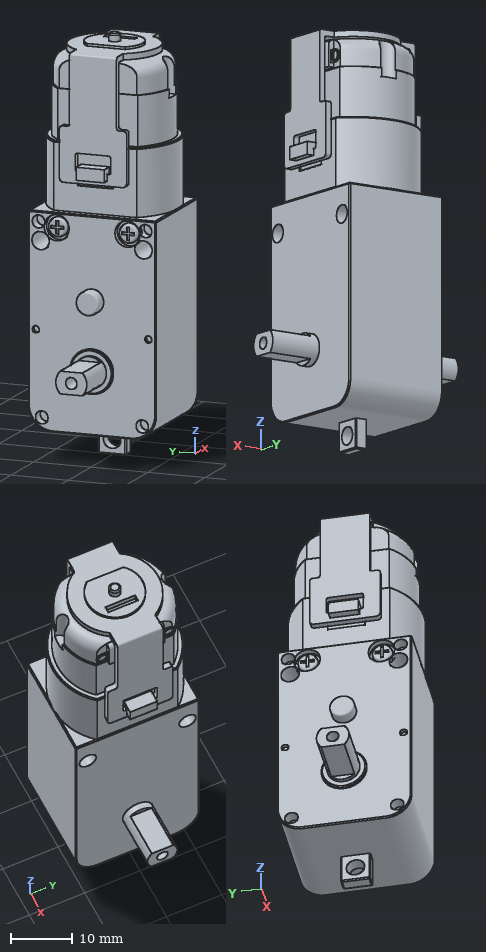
import cadquery as cq


BOX_LEFT = -10.0
BOX_RIGHT = 8.6
BOX_WIDTH = BOX_RIGHT - BOX_LEFT
BOX_DEPTH = 22.4
BOX_HEIGHT = 36.8
BOX_CORNER_RADIUS = 4.2
EDGE_BREAK = 0.2

SLEEVE_DIAMETER = BOX_DEPTH
SLEEVE_WIDTH = 17.0
SLEEVE_TOP = 48.4

TAB_THICKNESS = 2.25
TAB_WIDTH = 4.9
TAB_LENGTH = 5.1
TAB_HOLE_DIAMETER = 3.0

MOUNT_HOLE_DIAMETER = 3.0
MOUNT_HOLE_Y = 9.0
MOUNT_HOLE_Z = 31.9

PIN_HOLE_DIAMETER = 2.2
PIN_HOLE_DEPTH = 2.1
UPPER_PIN_HOLE_Y = 9.35
UPPER_PIN_HOLE_Z = 35.0
LOWER_PIN_HOLE_Y = 8.8
LOWER_PIN_HOLE_Z = 2.3

DIMPLE_DIAMETER = 1.2
DIMPLE_DEPTH = 0.7
DIMPLE_Y = 9.85
DIMPLE_Z = 16.95

STUD_DIAMETER = 4.1
STUD_LENGTH = 2.1
STUD_FILLET = 0.4
STUD_Z = 22.5

COLLAR_DIAMETER = 7.5
COLLAR_LENGTH = 0.5
COLLAR_CHAMFER = 0.2

HOOK_WIDTH = 4.9
HOOK_BOTTOM = 42.7
HOOK_TOP = 44.9
HOOK_OVERHANG = 1.3
POCKET_WIDTH = 6.2
POCKET_BOTTOM = 41.2
POCKET_DEPTH = 0.35

SCREW_Y = 6.2
SCREW_Z = 34.25
SCREW_HEAD_DIAMETER = 3.3
SCREW_HEAD_HEIGHT = 0.85
SCREW_HEAD_FILLET = 0.5
SCREW_RECESS_DIAMETER = 4.35
SCREW_RECESS_DEPTH = 1.05
CROSS_LENGTH = 2.2
CROSS_WIDTH = 0.4
CROSS_DEPTH = 0.2

SHAFT_DIAMETER = 5.4
SHAFT_LENGTH = 37.1
SHAFT_MID_X = -0.6
SHAFT_Z = 10.75
SHAFT_SHOULDER_LENGTH = 20.95
SHAFT_FLAT_SPAN = 3.8
SHAFT_BORE_DIAMETER = 2.0
SHAFT_BORE_DEPTH = 5.6

CAN_DIAMETER = 20.55
CAN_WIDTH = 15.05
CAN_TOP = 57.0
CAP_DIAMETER = 20.0
CAP_WIDTH = 14.6
CAP_TOP = 62.05
CAP_FILLET = 2.1
NOTCH_DIAMETER = 2.95
NOTCH_Y = 10.0
NOTCH_BOTTOM = 55.5

PLUG_DIAMETER = 10.0
PLUG_TOP = 63.95
PLUG_FLAT_X = -3.7
PLUG_SLOT_X = 2.6
PLUG_SLOT_WIDTH = 1.1
PLUG_SLOT_LENGTH = 5.35
PLUG_SLOT_DEPTH = 1.05

PAD_WIDTH = 10.0
PAD_THICKNESS = 1.05
PAD_BOTTOM = 57.2
PAD_TOP = 61.85
PAD_FILLET = 1.0

TERMINAL_THICKNESS = 0.2
TERMINAL_HEIGHT = 2.1
TERMINAL_X = 7.8
TERMINAL_Z = 58.95
TERMINAL_HOLE_Y = 6.0
TERMINAL_HOLE_DIAMETER = 1.7

MOTOR_SHAFT_DIAMETER = 2.0
MOTOR_SHAFT_TOP = 65.3
MOTOR_SHAFT_CHAMFER = 0.3

SHEET = 1.05
BRACKET_TOP = 63.5
BRACKET_BOTTOM = 41.85
BRACKET_BEND_RADIUS = 0.4
BRACKET_NARROW = 8.2
BRACKET_WIDE = 11.75
BRACKET_STEP_Z = 51.3
BRACKET_STEP_RADIUS = 0.5
SELECT_MARGIN = 0.1
BRACKET_FOOT_RADIUS = 0.7
BRACKET_DISC_DIAMETER = 15.6
WINDOW_WIDTH = POCKET_WIDTH
WINDOW_BOTTOM = 43.8
WINDOW_TOP = 46.9
WINDOW_RADIUS = 0.4


def centered_box(x_size, y_size, z_bottom, z_top):
    """Box centred on the Z axis between two heights."""
    box = cq.Workplane("XY").box(x_size, y_size, z_top - z_bottom, centered=(True, True, False))
    return box.translate((0, 0, z_bottom))


def z_cylinder(diameter, z_bottom, z_top):
    """Cylinder on the Z axis between two heights."""
    return cq.Workplane("XY", origin=(0, 0, z_bottom)).circle(diameter / 2).extrude(z_top - z_bottom)


def flatted_cylinder(diameter, width, z_bottom, z_top):
    """Z cylinder with two flats that face +X and -X."""
    envelope = centered_box(width, diameter, z_bottom, z_top)
    return z_cylinder(diameter, z_bottom, z_top).intersect(envelope)


def x_cylinders(diameter, x_start, length, centers):
    """Cylinders along +X from x_start, one at each (y, z) centre."""
    plane = cq.Workplane("YZ", origin=(x_start, 0, 0))
    return plane.pushPoints(centers).circle(diameter / 2).extrude(length)


def mirrored(y, z):
    """A pair of (y, z) points on both sides of the XZ plane."""
    return [(y, z), (-y, z)]


def gearbox_block():
    """Rectangular block with rounded lower corners and slightly broken edges."""
    block = cq.Workplane("XY").box(BOX_WIDTH, BOX_DEPTH, BOX_HEIGHT, centered=(False, True, False))
    block = block.translate((BOX_LEFT, 0, 0))
    block = block.edges("|X and <Z").fillet(BOX_CORNER_RADIUS)
    return block.faces("<X or >X or >Z").edges().chamfer(EDGE_BREAK)


def motor_sleeve():
    """Round sleeve with two flats, clip hooks and a shallow pocket under each hook."""
    sleeve = flatted_cylinder(SLEEVE_DIAMETER, SLEEVE_WIDTH, BOX_HEIGHT, SLEEVE_TOP)
    sleeve = sleeve.faces(">Z").edges().chamfer(EDGE_BREAK)

    pocket_span = SLEEVE_WIDTH - 2 * POCKET_DEPTH
    pockets = centered_box(SLEEVE_WIDTH, POCKET_WIDTH, POCKET_BOTTOM, HOOK_BOTTOM)
    pockets = pockets.cut(centered_box(pocket_span, POCKET_WIDTH, POCKET_BOTTOM, HOOK_BOTTOM))
    sleeve = sleeve.cut(pockets)

    bracket_width = SLEEVE_WIDTH + 2 * SHEET
    hooks = centered_box(bracket_width + 2 * HOOK_OVERHANG, HOOK_WIDTH, HOOK_BOTTOM, HOOK_TOP)
    hooks = hooks.cut(centered_box(bracket_width, HOOK_WIDTH, HOOK_BOTTOM, WINDOW_BOTTOM))
    hooks = hooks.cut(centered_box(SLEEVE_WIDTH, HOOK_WIDTH, HOOK_BOTTOM, HOOK_TOP))
    return sleeve.union(hooks)


def mounting_tab():
    """Flat tab with a cross hole under the gearbox."""
    tab = centered_box(TAB_THICKNESS, TAB_WIDTH, -TAB_LENGTH, 0)
    tab = tab.edges("|Z or <Z").chamfer(EDGE_BREAK)
    hole = x_cylinders(TAB_HOLE_DIAMETER, -TAB_THICKNESS, 2 * TAB_THICKNESS, [(0, -TAB_LENGTH / 2)])
    return tab.cut(hole)


def make_gearbox():
    gearbox = gearbox_block().union(motor_sleeve()).union(mounting_tab())

    stud = x_cylinders(STUD_DIAMETER, BOX_LEFT - STUD_LENGTH, STUD_LENGTH, [(0, STUD_Z)])
    stud = stud.faces("<X").edges().fillet(STUD_FILLET)
    collar = x_cylinders(COLLAR_DIAMETER, BOX_LEFT - COLLAR_LENGTH, COLLAR_LENGTH, [(0, SHAFT_Z)])
    collar = collar.faces("<X").edges().chamfer(COLLAR_CHAMFER)
    gearbox = gearbox.union(stud).union(collar)

    mount_holes = x_cylinders(MOUNT_HOLE_DIAMETER, BOX_LEFT, BOX_WIDTH, mirrored(MOUNT_HOLE_Y, MOUNT_HOLE_Z))
    pin_centers = mirrored(UPPER_PIN_HOLE_Y, UPPER_PIN_HOLE_Z) + mirrored(LOWER_PIN_HOLE_Y, LOWER_PIN_HOLE_Z)
    pin_holes = x_cylinders(PIN_HOLE_DIAMETER, BOX_LEFT, PIN_HOLE_DEPTH, pin_centers)
    dimples = x_cylinders(DIMPLE_DIAMETER, BOX_LEFT, DIMPLE_DEPTH, mirrored(DIMPLE_Y, DIMPLE_Z))
    recesses = x_cylinders(SCREW_RECESS_DIAMETER, BOX_LEFT, SCREW_RECESS_DEPTH, mirrored(SCREW_Y, SCREW_Z))
    bore_length = COLLAR_LENGTH + BOX_WIDTH
    shaft_bore = x_cylinders(SHAFT_DIAMETER, BOX_LEFT - COLLAR_LENGTH, bore_length, [(0, SHAFT_Z)])
    for cutter in (mount_holes, pin_holes, dimples, recesses, shaft_bore):
        gearbox = gearbox.cut(cutter)
    return gearbox


def make_screw(y):
    """Domed cross-recess screw head seated on the floor of its recess."""
    floor_x = BOX_LEFT + SCREW_RECESS_DEPTH
    top_x = floor_x - SCREW_HEAD_HEIGHT
    screw = x_cylinders(SCREW_HEAD_DIAMETER, top_x, SCREW_HEAD_HEIGHT, [(y, SCREW_Z)])
    screw = screw.faces("<X").edges().fillet(SCREW_HEAD_FILLET)
    cross_plane = cq.Workplane("YZ", origin=(top_x, y, SCREW_Z))
    for y_size, z_size in ((CROSS_LENGTH, CROSS_WIDTH), (CROSS_WIDTH, CROSS_LENGTH)):
        screw = screw.cut(cross_plane.rect(y_size, z_size).extrude(CROSS_DEPTH))
    return screw


def make_output_shaft():
    """Through shaft, round in the middle, with two flats and a blind bore at each end."""
    left_x = SHAFT_MID_X - SHAFT_LENGTH / 2
    right_x = SHAFT_MID_X + SHAFT_LENGTH / 2
    center = [(0, SHAFT_Z)]
    shaft = x_cylinders(SHAFT_DIAMETER, left_x, SHAFT_LENGTH, center)

    flat_end = cq.Workplane("XY").box(SHAFT_LENGTH, SHAFT_DIAMETER, SHAFT_FLAT_SPAN)
    shoulder = cq.Workplane("XY").box(SHAFT_SHOULDER_LENGTH, SHAFT_DIAMETER, SHAFT_DIAMETER)
    envelope = flat_end.union(shoulder).translate((SHAFT_MID_X, 0, SHAFT_Z))
    shaft = shaft.intersect(envelope)

    for bore_x in (left_x, right_x - SHAFT_BORE_DEPTH):
        shaft = shaft.cut(x_cylinders(SHAFT_BORE_DIAMETER, bore_x, SHAFT_BORE_DEPTH, center))
    return shaft


def plug_outline(z_bottom):
    """Round plug with one flat, from z_bottom to the plug top."""
    round_plug = z_cylinder(PLUG_DIAMETER, z_bottom, PLUG_TOP)
    envelope = centered_box(PLUG_DIAMETER, PLUG_DIAMETER, z_bottom, PLUG_TOP)
    return round_plug.intersect(envelope.translate((PLUG_DIAMETER / 2 + PLUG_FLAT_X, 0, 0)))


def end_notches():
    """Two upright round grooves that run from the can up through the cap."""
    plane = cq.Workplane("XY", origin=(0, 0, NOTCH_BOTTOM))
    circles = plane.pushPoints([(0, NOTCH_Y), (0, -NOTCH_Y)]).circle(NOTCH_DIAMETER / 2)
    return circles.extrude(CAP_TOP - NOTCH_BOTTOM)


def make_motor():
    """Motor case: wide can, narrower domed end, end grooves and terminal pad."""
    can = flatted_cylinder(CAN_DIAMETER, CAN_WIDTH, SLEEVE_TOP, CAN_TOP)
    cap = z_cylinder(CAP_DIAMETER, CAN_TOP, CAP_TOP).faces(">Z").edges().fillet(CAP_FILLET)
    cap = cap.intersect(centered_box(CAP_WIDTH, CAP_DIAMETER, CAN_TOP, CAP_TOP))
    motor = can.union(cap).cut(end_notches())

    pad = centered_box(PAD_THICKNESS, PAD_WIDTH, PAD_BOTTOM, PAD_TOP)
    pad = pad.edges(">X and >Z").fillet(PAD_FILLET)
    pad = pad.translate(((CAP_WIDTH + PAD_THICKNESS) / 2, 0, 0))
    return motor.union(pad).cut(z_cylinder(MOTOR_SHAFT_DIAMETER, CAN_TOP, CAP_TOP))


def make_end_plug():
    """Slotted plug on the end of the motor case, with the motor shaft through it."""
    plug = plug_outline(CAP_TOP)
    slot = centered_box(PLUG_SLOT_WIDTH, PLUG_SLOT_LENGTH, PLUG_TOP - PLUG_SLOT_DEPTH, PLUG_TOP)
    plug = plug.cut(slot.translate((PLUG_SLOT_X, 0, 0)))
    return plug.cut(z_cylinder(MOTOR_SHAFT_DIAMETER, CAP_TOP, PLUG_TOP))


def make_motor_shaft():
    shaft = z_cylinder(MOTOR_SHAFT_DIAMETER, CAN_TOP, MOTOR_SHAFT_TOP)
    return shaft.faces(">Z").edges().chamfer(MOTOR_SHAFT_CHAMFER)


def make_terminal(side):
    """Round-ended lug with a hole, standing out of one end of the pad (side is +1 or -1)."""
    root_y = PAD_WIDTH / 2
    start_x = TERMINAL_X - TERMINAL_THICKNESS / 2
    half = TERMINAL_HEIGHT / 2
    lug = (
        cq.Workplane("YZ", origin=(start_x, 0, TERMINAL_Z))
        .moveTo(side * root_y, -half)
        .lineTo(side * TERMINAL_HOLE_Y, -half)
        .threePointArc((side * (TERMINAL_HOLE_Y + half), 0), (side * TERMINAL_HOLE_Y, half))
        .lineTo(side * root_y, half)
        .close()
        .extrude(TERMINAL_THICKNESS)
    )
    hole_center = [(side * TERMINAL_HOLE_Y, TERMINAL_Z)]
    return lug.cut(x_cylinders(TERMINAL_HOLE_DIAMETER, start_x, TERMINAL_THICKNESS, hole_center))


def bracket_legs():
    """U-shaped strap whose legs widen below a step."""
    inner_width = SLEEVE_WIDTH
    outer_width = SLEEVE_WIDTH + 2 * SHEET
    strap = centered_box(outer_width, BRACKET_WIDE, BRACKET_BOTTOM, BRACKET_TOP)
    strap = strap.edges("|Y and >Z").fillet(BRACKET_BEND_RADIUS)
    opening = centered_box(inner_width, BRACKET_WIDE, BRACKET_BOTTOM, BRACKET_TOP - SHEET)
    strap = strap.cut(opening.edges("|Y and >Z").fillet(BRACKET_BEND_RADIUS))

    wide = centered_box(outer_width, BRACKET_WIDE, BRACKET_BOTTOM, BRACKET_STEP_Z)
    wide = wide.edges("|X and >Z").fillet(BRACKET_STEP_RADIUS)
    wide = wide.edges("|X and <Z").fillet(BRACKET_FOOT_RADIUS)
    narrow = centered_box(outer_width, BRACKET_NARROW, BRACKET_STEP_Z, BRACKET_TOP)
    side_profile = wide.union(narrow)
    concave_corners = cq.selectors.BoxSelector(
        (-outer_width, -BRACKET_NARROW / 2 - SELECT_MARGIN, BRACKET_STEP_Z - SELECT_MARGIN),
        (outer_width, BRACKET_NARROW / 2 + SELECT_MARGIN, BRACKET_STEP_Z + SELECT_MARGIN),
    )
    side_profile = side_profile.edges("|X").edges(concave_corners).fillet(BRACKET_STEP_RADIUS)
    return strap.intersect(side_profile)


def make_bracket():
    bracket = bracket_legs().union(z_cylinder(BRACKET_DISC_DIAMETER, BRACKET_TOP - SHEET, BRACKET_TOP))
    bracket = bracket.cut(plug_outline(CAP_TOP))
    window = centered_box(2 * SLEEVE_WIDTH, WINDOW_WIDTH, WINDOW_BOTTOM, WINDOW_TOP)
    return bracket.cut(window.edges("|X").fillet(WINDOW_RADIUS))


gearbox = make_gearbox()
output_shaft = make_output_shaft()
screws = [make_screw(y) for y in (SCREW_Y, -SCREW_Y)]
motor = make_motor()
end_plug = make_end_plug()
motor_shaft = make_motor_shaft()
terminals = [make_terminal(side) for side in (1, -1)]
bracket = make_bracket()

result = cq.Compound.makeCompound([
    gearbox.val(),
    output_shaft.val(),
    *[screw.val() for screw in screws],
    motor.val(),
    end_plug.val(),
    motor_shaft.val(),
    *[terminal.val() for terminal in terminals],
    bracket.val(),
])